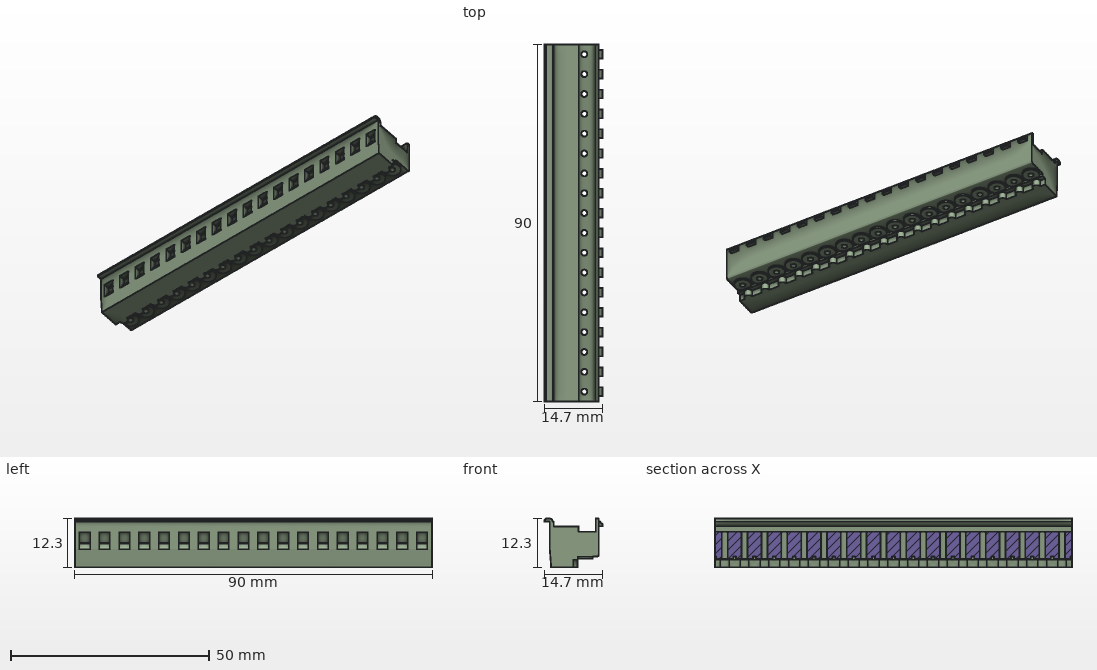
import cadquery as cq

LENGTH = 90.0
HEIGHT = 12.3
POLES = 18
PITCH = LENGTH / POLES

BLOCK_TOP = 10.35
LEDGE_TOP = 9.0
LEDGE_START = 7.3
REAR_INNER = 11.6
REAR_OUTER = 12.4
REAR_CHAMFER = 0.2
REAR_BOTTOM = 2.7
REAR_CORNER = 0.6
STEP_X = 7.1
PLUG_TOP = 1.9
PLUG_REAR = 5.9
DRAFT_INSET = 0.315
DRAFT_TOP = 4.6
DRAFT_BOTTOM = 0.5

LIP_REACH = 1.35
LIP_UNDERSIDE = 11.5
LIP_CHAMFER = 0.45
LIP_RADIUS = HEIGHT - LIP_UNDERSIDE
LIP_BACK = 1.1

HOLE_X = 8.7
HOLE_DIAMETER = 1.4
COLLAR_DIAMETER = 4.3
COLLAR_HEIGHT = 0.5
NUB_RADIUS = 1.1
LATCH_WIDTH = 2.25
LATCH_REACH = 0.9
LATCH_BOTTOM = 10.35
LATCH_TOP = 11.8

WINDOW_WIDTH = 2.7
WINDOW_TOP = 8.8
WINDOW_DEPTH = 1.8
SILL_DEPTH = 0.7
SILL_TOP = 5.4
SHELF_FRONT = 1.0
SHELF_EDGE = 5.9
SHELF_TOP = 6.2

POLE_POSITIONS = [(i - (POLES - 1) / 2) * PITCH for i in range(POLES)]


def extrude_along_y(profile, y_start, y_end):
    """Extrude a closed XZ profile from y_start to y_end."""
    return profile.extrude(y_start - y_end).translate((0, y_start, 0))


def make_body():
    corner_z = REAR_BOTTOM + REAR_CORNER
    profile = (
        cq.Workplane("XZ")
        .moveTo(DRAFT_INSET, 0)
        .lineTo(DRAFT_INSET, DRAFT_BOTTOM)
        .lineTo(0, DRAFT_TOP)
        .lineTo(0, LIP_UNDERSIDE)
        .lineTo(-LIP_REACH, LIP_UNDERSIDE)
        .lineTo(-LIP_REACH, HEIGHT - LIP_CHAMFER)
        .lineTo(-LIP_REACH + LIP_CHAMFER, HEIGHT)
        .lineTo(0, HEIGHT)
        .radiusArc((LIP_RADIUS, LIP_UNDERSIDE), LIP_RADIUS)
        .lineTo(LIP_BACK, LIP_UNDERSIDE)
        .lineTo(LIP_BACK, BLOCK_TOP)
        .lineTo(LEDGE_START, BLOCK_TOP)
        .lineTo(LEDGE_START, LEDGE_TOP)
        .lineTo(REAR_INNER, LEDGE_TOP)
        .lineTo(REAR_INNER, HEIGHT)
        .lineTo(REAR_OUTER - REAR_CHAMFER, HEIGHT)
        .lineTo(REAR_OUTER, HEIGHT - REAR_CHAMFER)
        .lineTo(REAR_OUTER, corner_z)
        .radiusArc((REAR_OUTER - REAR_CORNER, REAR_BOTTOM), REAR_CORNER)
        .lineTo(STEP_X, REAR_BOTTOM)
        .lineTo(STEP_X, PLUG_TOP)
        .lineTo(PLUG_REAR, PLUG_TOP)
        .lineTo(PLUG_REAR, 0)
        .close()
    )
    return extrude_along_y(profile, -LENGTH / 2, LENGTH / 2)


def make_latches():
    profile = (
        cq.Workplane("XZ")
        .moveTo(REAR_INNER, LATCH_BOTTOM)
        .lineTo(REAR_OUTER + LATCH_REACH, LATCH_BOTTOM)
        .lineTo(REAR_OUTER + LATCH_REACH, LATCH_TOP - LATCH_REACH)
        .lineTo(REAR_OUTER, LATCH_TOP)
        .lineTo(REAR_INNER, LATCH_TOP)
        .close()
    )
    latch = extrude_along_y(profile, -LATCH_WIDTH / 2, LATCH_WIDTH / 2)
    return at_poles(latch)


def make_windows():
    """Stepped wire-entry pockets: sloping sill, steep step, shelf and back wall."""
    profile = (
        cq.Workplane("XZ")
        .moveTo(0, DRAFT_TOP)
        .lineTo(SILL_DEPTH, SILL_TOP)
        .lineTo(SHELF_FRONT, SHELF_EDGE)
        .lineTo(SHELF_FRONT, SHELF_TOP)
        .lineTo(WINDOW_DEPTH, SHELF_TOP)
        .lineTo(WINDOW_DEPTH, WINDOW_TOP)
        .lineTo(0, WINDOW_TOP)
        .close()
    )
    window = extrude_along_y(profile, -WINDOW_WIDTH / 2, WINDOW_WIDTH / 2)
    return at_poles(window)


def at_poles(feature):
    """Copy a feature modelled at Y = 0 to every pole."""
    copies = cq.Workplane("XY")
    for y in POLE_POSITIONS:
        copies = copies.add(feature.translate((0, y, 0)))
    return copies.combine()


def make_posts(x, diameter, bottom, top):
    """Upright cylinders, one per pole."""
    return (
        cq.Workplane("XY", origin=(0, 0, bottom))
        .pushPoints([(x, y) for y in POLE_POSITIONS])
        .circle(diameter / 2)
        .extrude(top - bottom)
    )


collars = make_posts(HOLE_X, COLLAR_DIAMETER, REAR_BOTTOM - COLLAR_HEIGHT, REAR_BOTTOM)
nubs = make_posts(PLUG_REAR, 2 * NUB_RADIUS, 0, PLUG_TOP)
screw_holes = make_posts(HOLE_X, HOLE_DIAMETER, 0, HEIGHT)

result = (
    make_body()
    .union(make_latches())
    .union(collars)
    .union(nubs)
    .cut(make_windows())
    .cut(screw_holes)
)